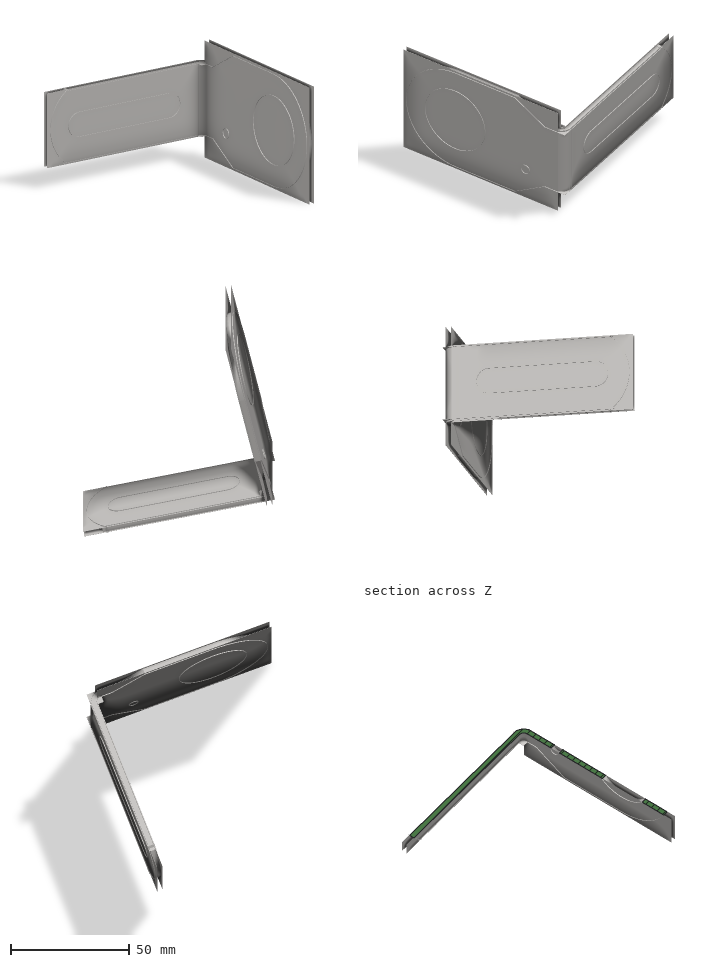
import cadquery as cq
import math

reach = 82.7
thickness = 2.5
proud = 0.3
skin = 0.1
sheet_margin = 1.6

inner_bend_radius = 2.5
outer_bend_radius = inner_bend_radius + thickness
bend_center = proud + outer_bend_radius
cap_side = outer_bend_radius + 2 * proud

leg_end = reach - sheet_margin
sheet_start = bend_center - sheet_margin
wall_height = thickness + 2 * proud

neck_half = 16.0
side_sheet_half = 16.6
side_end_radius = 20.0
side_arc_center = leg_end - side_end_radius
side_wall_end = 74.5
slot_start = 14.7
slot_end = 71.8
slot_radius = 5.45

wide_half = 25.0
wide_sheet_half = 52.0 / 2
neck_end = 10.4
shoulder_angle = 31
shoulder_rise = wide_half - neck_half
shoulder_end = neck_end + shoulder_rise / math.tan(math.radians(shoulder_angle))
wide_center = leg_end - wide_half
large_hole_radius = 15.3
small_hole_radius = 2.15
small_hole_place = (20.2, -11.0)


def flat_box(start, end, bottom, top, depth):
    """Box from U = start to end, V = bottom to top, W = 0 to depth."""
    return cq.Workplane().box(end - start, top - bottom, depth, centered=False).translate((start, bottom, 0))


def wide_outline(inset=0.0):
    half = wide_half - inset
    neck = neck_half - inset
    return (
        cq.Workplane()
        .moveTo(bend_center, -neck)
        .lineTo(neck_end, -neck)
        .lineTo(shoulder_end, -half)
        .lineTo(wide_center, -half)
        .threePointArc((wide_center + half, 0), (wide_center, half))
        .lineTo(shoulder_end, half)
        .lineTo(neck_end, neck)
        .lineTo(bend_center, neck)
        .close()
    )


def arc_to_chord(radius, half):
    """Distance from the center of an arc to its chord at a given half height."""
    return math.sqrt(radius**2 - half**2)


def side_outline():
    corner = side_arc_center + arc_to_chord(side_end_radius, neck_half)
    return (
        cq.Workplane()
        .moveTo(bend_center, -neck_half)
        .lineTo(corner, -neck_half)
        .threePointArc((leg_end, 0), (corner, neck_half))
        .lineTo(bend_center, neck_half)
        .close()
    )


def cylinder(place, radius, depth):
    return cq.Workplane().center(*place).circle(radius).extrude(depth)


def slot(radius, depth):
    middle = (slot_start + slot_end) / 2
    length = slot_end - slot_start - 2 * (slot_radius - radius)
    return cq.Workplane().center(middle, 0).slot2D(length, 2 * radius).extrude(depth)


def cover_sheets(half):
    near = flat_box(sheet_start, reach, -half, half, skin).translate((0, 0, proud))
    return near.union(near.translate((0, 0, thickness - skin)))


def wide_leg():
    plate = wide_outline().extrude(thickness).translate((0, 0, proud))
    rim = wide_outline().extrude(wall_height).cut(wide_outline(skin).extrude(wall_height))
    leg = plate.union(rim)
    for place, radius in (((wide_center, 0), large_hole_radius), (small_hole_place, small_hole_radius)):
        leg = leg.union(
            cylinder(place, radius + skin, wall_height).cut(cylinder(place, radius, wall_height))
        )
        leg = leg.cut(cylinder(place, radius, wall_height))
    return leg.union(cover_sheets(wide_sheet_half))


def side_leg():
    leg = side_outline().extrude(thickness).translate((0, 0, proud))
    for bottom in (-neck_half, neck_half - skin):
        leg = leg.union(flat_box(bend_center, side_wall_end, bottom, bottom + skin, wall_height))
    leg = leg.union(
        flat_box(bend_center, bend_center + skin, -neck_half, neck_half, wall_height)
    )
    arc_center = (side_arc_center, 0)
    end_wall = cylinder(arc_center, side_end_radius, wall_height)
    end_wall = end_wall.cut(cylinder(arc_center, side_end_radius - skin, wall_height))
    end_start = side_arc_center + arc_to_chord(side_end_radius, side_sheet_half)
    end_wall = end_wall.intersect(
        flat_box(end_start, leg_end, -side_sheet_half, side_sheet_half, wall_height)
    )
    leg = leg.union(end_wall)
    leg = leg.union(slot(slot_radius + skin, wall_height)).cut(slot(slot_radius, wall_height))
    return leg.union(cover_sheets(side_sheet_half))


def bend_sector(inner, outer, half):
    """Quarter ring about the bend axis, symmetric about Z = 0."""
    ring = (
        cq.Workplane()
        .center(bend_center, -bend_center)
        .circle(outer)
        .circle(inner)
        .extrude(half, both=True)
    )
    corner = cq.Workplane().box(bend_center, bend_center, 2 * half, centered=(False, False, True))
    return ring.intersect(corner.translate((0, -bend_center, 0)))


def bend():
    body = bend_sector(inner_bend_radius, outer_bend_radius, neck_half)
    for outer in (outer_bend_radius, inner_bend_radius + skin):
        body = body.union(bend_sector(outer - skin, outer, side_sheet_half))
    for bottom in (-neck_half, neck_half - skin):
        cap = cq.Workplane().box(cap_side, cap_side, skin, centered=False)
        body = body.union(cap.translate((0, -cap_side, bottom)))
    return body


wide = wide_leg().rotate((0, 0, 0), (1, 0, 0), 90)
side = side_leg().rotate((0, 0, 0), (1, 0, 0), 90).rotate((0, 0, 0), (0, 0, 1), -90)
side = side.mirror("YZ")

result = wide.union(bend()).union(side)